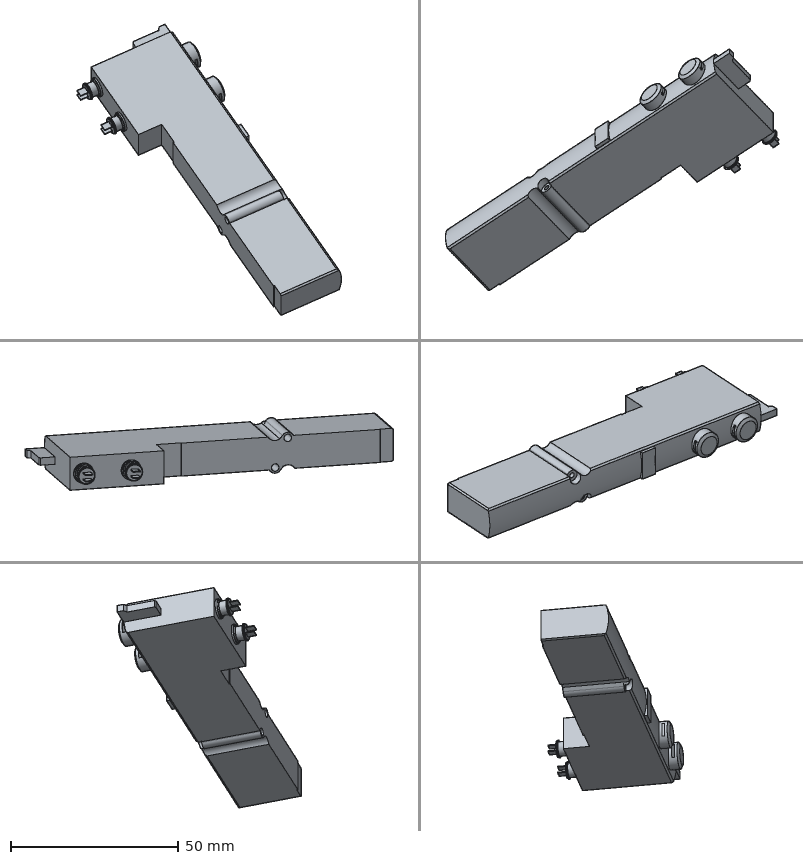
import cadquery as cq
import math

overlap = 0.5

body_length = 102.5
body_half = 5.1
block_length = 29.1
recess_start, recess_y = 36.7, 7.9
front_y = 7.6
end_relief_x = 98.4
arch_y = 28.5
arch_edge_y, arch_edge_half = 27.8, 4.7
chamfer_y = 27.1
end_chamfer_x, end_chamfer_z = 0.7, 0.3

overall_half = 6.2
tube_x, tube_z = 69.7, 4.2
tube_radius = overall_half - tube_z
groove_x, groove_radius = 65.8, 2.7
groove_bottom_z = 3.9
groove_end_dx = 1.4
flank_dx = 1.6
screw_z = 4.5
screw_hole_diameter, screw_neck_diameter = 2.3, 1.6
head_diameter = 3.9
head_y, neck_length = 26.1, 2.2

tab_reach, tab_stem = 6.0, 4.9
tab_low_y = 16.7
hook_low_y, hook_root_y = 26.5, 25.7
tab_thickness = 2.3
tab_corner = 0.4

plate_x, plate_length = 40.1, 5.0
plate_half, plate_y = 4.6, 28.9

station_count, pitch = 2, 14.8
knob_x, plug_x = 7.4, 4.1
knob_diameter, knob_top_diameter = 8.1, 6.1
knob_top_y, knob_rim = 31.7, 0.7
grip_y, grip_height, grip_width, grip_depth = 29.4, 0.8, 4.1, 0.7
plug_tip_y = -6.5
prong_width, prong_thickness, prong_z = 2.3, 0.3, 1.0
plug_steps = [(6.1, 0.5), (5.3, 1.0), (4.5, 3.3), (5.3, 3.6), (4.9, 3.9)]


def cylinder_y(x, z, diameter, y_start, y_end):
    """Cylinder along Y between two Y positions."""
    return (
        cq.Workplane("XZ", origin=(x, y_start, z))
        .circle(diameter / 2)
        .extrude(y_start - y_end)
    )


def half_turn(solid):
    """Copy turned about the Y-directed axis midway between tube and groove."""
    middle_x = (tube_x + groove_x) / 2
    return solid.rotate((middle_x, 0, 0), (middle_x, 1, 0), 180)


def body():
    """Arched cross-section along X, trimmed to the stepped plan outline."""
    section = (
        cq.Workplane("YZ")
        .moveTo(0, -body_half)
        .lineTo(chamfer_y, -body_half)
        .lineTo(arch_edge_y, -arch_edge_half)
        .threePointArc((arch_y, 0), (arch_edge_y, arch_edge_half))
        .lineTo(chamfer_y, body_half)
        .lineTo(0, body_half)
        .close()
        .extrude(body_length)
    )
    plan = (
        cq.Workplane("XY", origin=(0, 0, -body_half))
        .polyline([
            (0, 0), (block_length, 0), (block_length, recess_y), (recess_start, recess_y),
            (recess_start, front_y), (end_relief_x, front_y), (end_relief_x, recess_y),
            (body_length, recess_y), (body_length, arch_y), (0, arch_y),
        ])
        .close()
        .extrude(2 * body_half)
    )
    side = (
        cq.Workplane("XZ", origin=(0, arch_y, 0))
        .polyline([
            (0, -body_half), (body_length - end_chamfer_x, -body_half),
            (body_length, end_chamfer_z - body_half), (body_length, body_half - end_chamfer_z),
            (body_length - end_chamfer_x, body_half), (0, body_half),
        ])
        .close()
        .extrude(arch_y)
    )
    return section.intersect(plan).intersect(side)


groove_center_z = groove_bottom_z + groove_radius
left_foot = (
    groove_x + groove_end_dx,
    groove_center_z - math.sqrt(groove_radius ** 2 - groove_end_dx ** 2),
)
flank_rise = math.sqrt(tube_radius ** 2 - flank_dx ** 2)
flank_high_z = tube_z + flank_rise
left_flank_top = (tube_x - flank_dx, flank_high_z)
right_flank_top = (tube_x + flank_dx, flank_high_z)
right_foot = (right_flank_top[0] + (flank_high_z - body_half) * flank_rise / flank_dx, body_half)


def ridge():
    """Rounded tube ridge rising above the body, up to the screw-head recess."""
    return (
        cq.Workplane("XZ", origin=(0, head_y, 0))
        .moveTo(*left_foot)
        .lineTo(*left_flank_top)
        .threePointArc((tube_x, overall_half), right_flank_top)
        .lineTo(*right_foot)
        .lineTo(right_foot[0], left_foot[1])
        .close()
        .extrude(head_y - front_y)
    )


def groove():
    """Round groove beside the tube, ending on the tube flank."""
    groove_left = groove_x - math.sqrt(groove_radius ** 2 - (groove_center_z - body_half) ** 2)
    return (
        cq.Workplane("XZ", origin=(0, arch_y, 0))
        .moveTo(groove_left, body_half)
        .threePointArc((groove_x, groove_bottom_z), left_foot)
        .lineTo(*left_flank_top)
        .lineTo(groove_left, flank_high_z)
        .close()
        .extrude(arch_y - front_y)
    )


def screw_hole():
    """Through hole, narrowed just before the screw-head recess at the back."""
    hole = cylinder_y(tube_x, screw_z, screw_hole_diameter, 0, head_y - neck_length)
    neck = cylinder_y(tube_x, screw_z, screw_neck_diameter, 0, head_y)
    head = cylinder_y(tube_x, screw_z, head_diameter, head_y, arch_y)
    return hole.union(neck).union(head)


def tab():
    """Hooked finger on the left face."""
    return (
        cq.Workplane("XY", origin=(0, 0, -tab_thickness / 2))
        .moveTo(overlap, tab_low_y)
        .lineTo(tab_corner - tab_stem, tab_low_y)
        .lineTo(-tab_stem, tab_low_y + tab_corner)
        .lineTo(-tab_stem, hook_root_y)
        .lineTo(-tab_reach, hook_low_y)
        .lineTo(-tab_reach, arch_y)
        .lineTo(0, arch_y)
        .lineTo(overlap, arch_edge_y)
        .close()
        .extrude(tab_thickness)
    )


def plate():
    """Flat rectangular plate standing on the arched back."""
    return cq.Workplane("XY").box(
        plate_length, plate_y - arch_edge_y, 2 * plate_half, centered=(False, False, True)
    ).translate((plate_x, arch_edge_y, 0))


def knob(x):
    """Round knob with a bevelled rim and a grip notch on its left and right."""
    shape = (
        cylinder_y(x, 0, knob_diameter, chamfer_y, knob_top_y)
        .faces(">Y")
        .chamfer(knob_rim, (knob_diameter - knob_top_diameter) / 2)
    )
    notch = cq.Workplane("XY").box(
        2 * grip_depth, grip_height, grip_width, centered=(True, False, True)
    )
    for side in (-1, 1):
        shape = shape.cut(notch.translate((x + side * knob_diameter / 2, grip_y, 0)))
    return shape


def plug(x):
    """Stepped round connector with two flat prongs."""
    start = overlap
    shape = cq.Workplane("XY")
    for diameter, reach in plug_steps:
        shape = shape.union(cylinder_y(x, 0, diameter, start, -reach))
        start = -reach
    for z in (-prong_z, prong_z):
        prong = cq.Workplane("XY").box(
            prong_width, -plug_tip_y, prong_thickness, centered=(True, False, True)
        )
        shape = shape.union(prong.translate((x, plug_tip_y, z)))
    return shape


result = body()
for feature in (groove(), half_turn(groove())):
    result = result.cut(feature)
for feature in (ridge(), half_turn(ridge())):
    result = result.union(feature)
for feature in (screw_hole(), half_turn(screw_hole())):
    result = result.cut(feature)
result = result.union(tab()).union(plate())
for index in range(station_count):
    result = result.union(knob(knob_x + index * pitch))
    result = result.union(plug(plug_x + index * pitch))